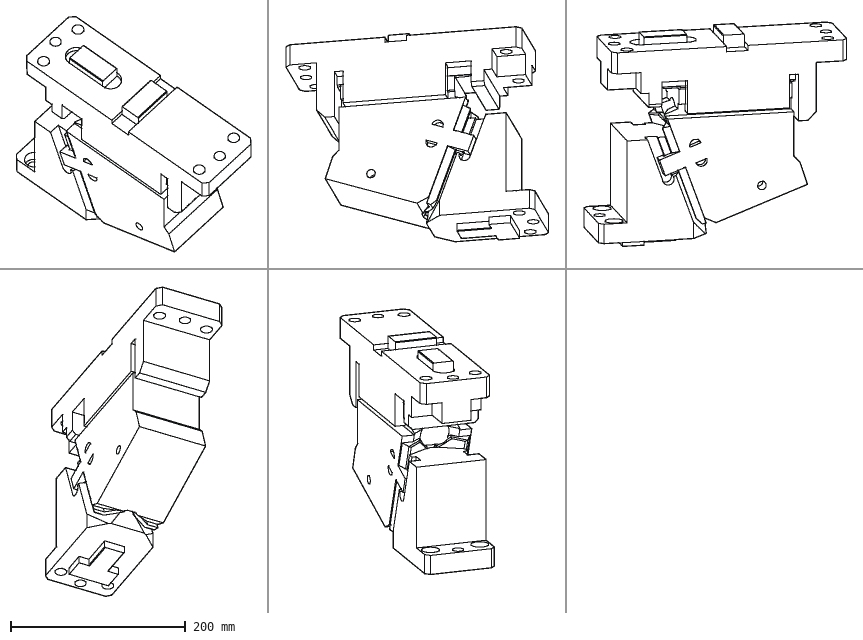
import cadquery as cq
import math


LENGTH = 292.0
HEIGHT = 243.0
WIDTH = 85.0
HALF_WIDTH = WIDTH / 2
KEY_PROJECTION = 9.0
KEY_WIDTH = 25.0
CROSS_KEY_LENGTH = 2 * KEY_WIDTH
KEY_CHAMFER = 1.0
DOWEL_DIAMETER = 12.8
BOLT_DIAMETER = 13.5
BOLT_Y = 30.0

INCLINE = math.radians(20)
FRONT_X = 80.0
FRONT_Z = 152.0
V_SLOPE = math.tan(math.radians(30))
V_EDGE_DEPTH = -13.7
RIDGE_HALF = 5.0
FAR = 175.2

HOLDER_TOP = HEIGHT - KEY_PROJECTION
BODY_THICKNESS = 50.0
BODY_BOTTOM = HOLDER_TOP - BODY_THICKNESS
NECK_HALF = 27.7
FLANGE_HALF = 32.5
LIP_TOP = 166.1

HOLDER_LEFT = 15.2
PLATE_BOTTOM = HOLDER_TOP - BODY_THICKNESS / 2
HOLDER_CHAMFER = 5.8
TONGUE_RIGHT = 48.8
TONGUE_HALF = 17.5
LEFT_LEG_X = 58.5
LEFT_LEG_CHAMFER = 4.5
SLOT_START = 73.5
SLOT_END = 234.0
PANEL_START = 103.7
PANEL_END = 223.7
PANEL_BOTTOM = 157.0
RIGHT_LEG_END = 255.0
RIGHT_LEG_BOTTOM = 141.0
RIGHT_LEG_CHAMFER = 10.0
CHANNEL_ROOF = 196.2
CHANNEL_INNER = 27.0
PAD_THICKNESS = 2.0
PAD_HALF = 25.7
PAD_LEAD_IN = 7.3
LONG_KEY_START = 59.0
LONG_KEY_LENGTH = 50.5
LONG_SEAT_START = 46.0
LONG_SEAT_LENGTH = 77.0
CROSS_KEY_START = 149.5
KEY_SEAT_DEPTH = 6.0
HOLDER_BOLT_XS = (35.0, 271.3)
HOLDER_DOWEL_XS = (27.2, 276.2)

NECK_START = 95.5
SLIDE_END = 228.5
SLIDE_BACK_Z = 99.3
SLIDE_BACK_STEP = 7.3
SLIDE_HEEL = (244.7, 65.5)
SLIDE_TOE = (137.0, 26.3)
FRONT_FOOT_Z = 32.7
SHOULDER_Z = 159.7
BORE_DIAMETER = 35.0
BORE_Z = 148.0
BORE_END = 175.2
PIN_HOLE_X = 191.0
PIN_HOLE_Z = 67.2
PIN_HOLE_DIAMETER = 10.0
PIN_HOLE_DEPTH = 17.5
DRILL_POINT = math.radians(31)
PLATE_TOP = 9.5
PLATE_END = 134.0
PLATE_OUTER_DEPTH = -8.2
PLATE_OUTER_Y = 41.2
PLATE_BEVEL_Y = 36.0
PLATE_INNER_Y = 5.8
PLATE_CORNER_WIDTH = 13.0
PLATE_CORNER_DROP = 17.0
PLATE_LEAD_IN = 1.5
PLATE_TIP_LENGTH = 7.5
PLATE_TIP_DEPTH = 3.8

HOOK_TOP = 41.8
HOOK_HEIGHT = 20.1
HOOK_END_DEPTH = -25.5
HOOK_INNER_Y = 34.5
HOOK_ROOT_DEPTH = 20.0
HOOK_LIP_Y = 30.0
HOOK_LIP_THICKNESS = 7.3
RELIEF_RADIUS = 6.7

BASE_BOTTOM = KEY_PROJECTION
FOOT_TOP = 32.0
COLUMN_LEFT = 32.5
COLUMN_TOP = 129.0
BASE_RIGHT = 130.5
BASE_LEFT_CHAMFER = 5.3
BASE_RIGHT_CHAMFER = 20.1
GROOVE_BACK_DEPTH = -30.0
GROOVE_FRONT_DEPTH = -17.0
GROOVE_END = 67.5
GROOVE_INNER_Y = 29.0
RAIL_HALF = 34.2
RAIL_CUT_END = 66.5
BASE_KEY_START = 31.2
BASE_LONG_KEY_END = 96.7
BASE_BOLT_X = 20.0
BASE_DOWEL_X = 10.0
COUNTERBORE_DIAMETER = 20.5
COUNTERBORE_DEPTH = 13.0


def box(x0, x1, y0, y1, z0, z1):
    return cq.Workplane("XY").box(x1 - x0, y1 - y0, z1 - z0, centered=False).translate((x0, y0, z0))


def centred_box(x0, x1, half, z0, z1):
    return box(x0, x1, -half, half, z0, z1)


def both_sides(shape):
    """Return the shape together with its mirror image across the symmetry plane."""
    return shape.union(shape.mirror("XZ"))


def side_outline(points, half):
    """Extrude an X-Z outline symmetrically to +/- half in Y."""
    return cq.Workplane("XZ").polyline(points).close().extrude(half, both=True)


def vertical_hole(x, y, diameter):
    return cq.Workplane("XY").center(x, y).circle(diameter / 2).extrude(HEIGHT)


def incline_section(points, start, end):
    """Extrude a (y, depth) section down the incline between two travel values."""
    down = cq.Vector(math.sin(INCLINE), 0, -math.cos(INCLINE))
    origin = cq.Vector(FRONT_X, 0, FRONT_Z) + down * start
    plane = cq.Plane(origin=origin, xDir=(0, 1, 0), normal=down)
    return cq.Workplane(plane).polyline(points).close().extrude(end - start)


def incline_side(y):
    """Workplane on the -Y half with axes (depth, -travel) and extrusions running outward to -Y."""
    depth_axis = (math.cos(INCLINE), 0, math.sin(INCLINE))
    return cq.Workplane(cq.Plane(origin=(FRONT_X, -y, FRONT_Z), xDir=depth_axis, normal=(0, -1, 0)))


def incline_box(depth0, depth1, y0, y1, start, end):
    """Block in incline coordinates, repeated on both sides of the symmetry plane."""
    section = [(-y1, depth0), (-y0, depth0), (-y0, depth1), (-y1, depth1)]
    return both_sides(incline_section(section, start, end))


def v_depth(y):
    """Depth of the mating V face at distance y from the symmetry plane."""
    return V_EDGE_DEPTH + (HALF_WIDTH - y) * V_SLOPE


def location_key(x0, x1, half, z0, z1, chamfer_edges):
    return centred_box(x0, x1, half, z0, z1).edges(chamfer_edges).chamfer(KEY_CHAMFER)


def make_holder():
    outline = [
        (HOLDER_LEFT, HOLDER_TOP),
        (LENGTH, HOLDER_TOP),
        (LENGTH, PLATE_BOTTOM),
        (RIGHT_LEG_END, PLATE_BOTTOM),
        (RIGHT_LEG_END, RIGHT_LEG_BOTTOM + RIGHT_LEG_CHAMFER),
        (RIGHT_LEG_END - RIGHT_LEG_CHAMFER, RIGHT_LEG_BOTTOM),
        (SLOT_END, RIGHT_LEG_BOTTOM),
        (SLOT_END, CHANNEL_ROOF),
        (PANEL_END, CHANNEL_ROOF),
        (PANEL_END, PANEL_BOTTOM),
        (PANEL_START, PANEL_BOTTOM),
        (PANEL_START, CHANNEL_ROOF),
        (SLOT_START, CHANNEL_ROOF),
        (SLOT_START, LIP_TOP),
        (LEFT_LEG_X, LIP_TOP),
        (LEFT_LEG_X, BODY_BOTTOM),
        (TONGUE_RIGHT, BODY_BOTTOM),
        (TONGUE_RIGHT, PLATE_BOTTOM),
        (HOLDER_LEFT, PLATE_BOTTOM),
    ]
    holder = side_outline(outline, HALF_WIDTH)
    corner_box = centred_box(HOLDER_LEFT, LENGTH, HALF_WIDTH, 0, HEIGHT)
    holder = holder.intersect(corner_box.edges("|Z").chamfer(HOLDER_CHAMFER))

    leg_box = centred_box(LEFT_LEG_X, SLOT_START, HALF_WIDTH, LIP_TOP, BODY_BOTTOM)
    leg = leg_box.edges("<Z and |X").chamfer(LEFT_LEG_CHAMFER)
    holder = holder.cut(leg_box.cut(leg))

    holder = holder.cut(centred_box(SLOT_START, SLOT_END, NECK_HALF, PANEL_BOTTOM, LIP_TOP))
    holder = holder.cut(centred_box(SLOT_START, SLOT_END, FLANGE_HALF, LIP_TOP, CHANNEL_ROOF))
    pad_outline = [
        (SLOT_START, CHANNEL_ROOF),
        (SLOT_START, BODY_BOTTOM + PAD_THICKNESS),
        (SLOT_START + PAD_LEAD_IN, BODY_BOTTOM),
        (SLOT_END, BODY_BOTTOM),
        (SLOT_END, CHANNEL_ROOF),
    ]
    holder = holder.union(side_outline(pad_outline, PAD_HALF))
    rib_bottom = BODY_BOTTOM + PAD_THICKNESS
    holder = holder.union(centred_box(SLOT_START, SLOT_END, CHANNEL_INNER, rib_bottom, CHANNEL_ROOF))
    holder = holder.union(centred_box(HOLDER_LEFT, TONGUE_RIGHT, TONGUE_HALF, BODY_BOTTOM, PLATE_BOTTOM))

    seat_floor = HOLDER_TOP - KEY_SEAT_DEPTH
    cross_end = CROSS_KEY_START + KEY_WIDTH
    long_seat = (
        cq.Workplane("XY", origin=(LONG_SEAT_START + LONG_SEAT_LENGTH / 2, 0, seat_floor))
        .slot2D(LONG_SEAT_LENGTH, KEY_WIDTH)
        .extrude(KEY_SEAT_DEPTH)
    )
    holder = holder.cut(long_seat)
    holder = holder.cut(centred_box(CROSS_KEY_START, cross_end, HALF_WIDTH, seat_floor, HOLDER_TOP))
    long_end = LONG_KEY_START + LONG_KEY_LENGTH
    holder = holder.union(
        location_key(LONG_KEY_START, long_end, KEY_WIDTH / 2, seat_floor, HEIGHT, ">Z and |X"))
    holder = holder.union(
        location_key(CROSS_KEY_START, cross_end, CROSS_KEY_LENGTH / 2, seat_floor, HEIGHT, ">Z and |Y"))

    for bolt_x, dowel_x in zip(HOLDER_BOLT_XS, HOLDER_DOWEL_XS):
        for y in (-BOLT_Y, BOLT_Y):
            holder = holder.cut(vertical_hole(bolt_x, y, BOLT_DIAMETER))
        holder = holder.cut(vertical_hole(dowel_x, 0, DOWEL_DIAMETER))
    return holder


def make_wear_plates():
    """Pair of plates that line the V recess of the slide and ride on the V faces of the base."""
    contact_y = HALF_WIDTH - (PLATE_OUTER_DEPTH - V_EDGE_DEPTH) / V_SLOPE
    section = [
        (-PLATE_OUTER_Y, 0),
        (-PLATE_BEVEL_Y, PLATE_OUTER_DEPTH),
        (-contact_y, PLATE_OUTER_DEPTH),
        (-PLATE_INNER_Y, v_depth(PLATE_INNER_Y)),
        (-PLATE_INNER_Y, (NECK_HALF - PLATE_INNER_Y) * V_SLOPE),
        (-NECK_HALF, 0),
    ]
    plate = incline_section(section, PLATE_TOP, PLATE_END)

    tip = (
        incline_side(0)
        .polyline([
            (PLATE_OUTER_DEPTH, -PLATE_END),
            (PLATE_OUTER_DEPTH + PLATE_TIP_DEPTH, -PLATE_END),
            (PLATE_OUTER_DEPTH, -PLATE_END + PLATE_TIP_LENGTH),
        ])
        .close()
        .extrude(HALF_WIDTH)
    )
    plate = plate.cut(tip)

    into_slide = cq.Vector(math.cos(INCLINE), 0, math.sin(INCLINE))
    corner_plane = cq.Plane(
        origin=cq.Vector(FRONT_X, 0, FRONT_Z) - into_slide * FAR / 2, xDir=(0, 1, 0), normal=into_slide)
    corner = (
        cq.Workplane(corner_plane)
        .polyline([
            (-PLATE_INNER_Y, -PLATE_TOP),
            (-PLATE_INNER_Y - PLATE_CORNER_WIDTH, -PLATE_TOP),
            (-PLATE_INNER_Y, -PLATE_TOP - PLATE_CORNER_DROP),
        ])
        .close()
        .extrude(FAR)
    )
    plate = plate.cut(corner)

    face_normal = (-math.cos(INCLINE), V_SLOPE, -math.sin(INCLINE))
    sliding_face = plate.faces(cq.DirectionSelector(cq.Vector(*face_normal)))
    plate = sliding_face.edges(">>Z or >>Z[-2]").chamfer(PLATE_LEAD_IN)
    return both_sides(plate)


def make_pin_hole():
    """Blind hole with a drill point, entering from the -Y side."""
    radius = PIN_HOLE_DIAMETER / 2
    drill_tip = radius * math.tan(DRILL_POINT)
    half_section = [
        (PIN_HOLE_X, -HALF_WIDTH),
        (PIN_HOLE_X + radius, -HALF_WIDTH),
        (PIN_HOLE_X + radius, PIN_HOLE_DEPTH - HALF_WIDTH),
        (PIN_HOLE_X, PIN_HOLE_DEPTH - HALF_WIDTH + drill_tip),
    ]
    section = cq.Workplane("XY", origin=(0, 0, PIN_HOLE_Z)).polyline(half_section).close()
    return section.revolve(360, (PIN_HOLE_X, 0, 0), (PIN_HOLE_X, 1, 0))


def make_slide():
    front_foot_x = FRONT_X + (FRONT_Z - FRONT_FOOT_Z) * math.tan(INCLINE)
    lower_outline = [
        (FRONT_X, FRONT_Z),
        (SLIDE_END, FRONT_Z),
        (SLIDE_END, SLIDE_BACK_Z),
        (SLIDE_END + SLIDE_BACK_STEP, SLIDE_BACK_Z - SLIDE_BACK_STEP),
        SLIDE_HEEL,
        SLIDE_TOE,
        (front_foot_x, FRONT_FOOT_Z),
    ]
    slide = side_outline(lower_outline, HALF_WIDTH)

    shoulder_start_z = SHOULDER_Z - (NECK_START - FRONT_X) * math.tan(INCLINE)
    neck_outline = [
        (FRONT_X, FRONT_Z),
        (FRONT_X, shoulder_start_z),
        (NECK_START, SHOULDER_Z),
        (NECK_START, LIP_TOP),
        (SLIDE_END, LIP_TOP),
        (SLIDE_END, FRONT_Z),
    ]
    slide = slide.union(side_outline(neck_outline, NECK_HALF))
    slide = slide.union(centred_box(NECK_START, SLIDE_END, FLANGE_HALF, LIP_TOP, BODY_BOTTOM))

    recess_depth = (NECK_HALF - RIDGE_HALF) * V_SLOPE
    recess = [
        (-NECK_HALF, 0),
        (-RIDGE_HALF, recess_depth),
        (RIDGE_HALF, recess_depth),
        (NECK_HALF, 0),
        (NECK_HALF, -PLATE_BEVEL_Y),
        (-NECK_HALF, -PLATE_BEVEL_Y),
    ]
    slide = slide.cut(incline_section(recess, -FAR, FAR))
    slide = slide.union(make_wear_plates())

    bore = cq.Workplane("YZ").center(0, BORE_Z).circle(BORE_DIAMETER / 2).extrude(BORE_END)
    slide = slide.cut(bore)
    slide = slide.cut(both_sides(make_pin_hole()))

    hook_bottom = HOOK_TOP + HOOK_HEIGHT
    reliefs = (
        incline_side(HOOK_INNER_Y)
        .pushPoints([(HOOK_ROOT_DEPTH, -HOOK_TOP), (HOOK_ROOT_DEPTH, -hook_bottom)])
        .circle(RELIEF_RADIUS)
        .extrude(HALF_WIDTH - HOOK_INNER_Y)
    )
    slide = slide.cut(both_sides(reliefs))
    hook_root = HOOK_ROOT_DEPTH + RELIEF_RADIUS
    slide = slide.union(
        incline_box(HOOK_END_DEPTH, hook_root, HOOK_INNER_Y, HALF_WIDTH, HOOK_TOP, hook_bottom))
    lip_end = HOOK_END_DEPTH + HOOK_LIP_THICKNESS
    slide = slide.union(
        incline_box(HOOK_END_DEPTH, lip_end, HOOK_LIP_Y, HOOK_INNER_Y, HOOK_TOP, hook_bottom))
    return slide


def make_base():
    block = centred_box(0, BASE_RIGHT, HALF_WIDTH, BASE_BOTTOM, COLUMN_TOP)
    block = block.edges("|Z and <X").chamfer(BASE_LEFT_CHAMFER)
    base = block.edges("|Z and >X").chamfer(BASE_RIGHT_CHAMFER)
    base = base.cut(centred_box(0, COLUMN_LEFT, HALF_WIDTH, FOOT_TOP, COLUMN_TOP))

    beyond_v = [
        (-HALF_WIDTH, V_EDGE_DEPTH),
        (-RIDGE_HALF, v_depth(RIDGE_HALF)),
        (RIDGE_HALF, v_depth(RIDGE_HALF)),
        (HALF_WIDTH, V_EDGE_DEPTH),
        (HALF_WIDTH, FAR),
        (-HALF_WIDTH, FAR),
    ]
    base = base.cut(incline_section(beyond_v, -FAR, 2 * FAR))

    groove_width = GROOVE_FRONT_DEPTH - GROOVE_BACK_DEPTH
    groove = (
        incline_side(GROOVE_INNER_Y)
        .moveTo(GROOVE_BACK_DEPTH, FAR)
        .lineTo(GROOVE_BACK_DEPTH, -GROOVE_END)
        .threePointArc(
            (GROOVE_BACK_DEPTH + groove_width / 2, -GROOVE_END - groove_width / 2),
            (GROOVE_FRONT_DEPTH, -GROOVE_END),
        )
        .lineTo(GROOVE_FRONT_DEPTH, FAR)
        .close()
        .extrude(HALF_WIDTH - GROOVE_INNER_Y)
    )
    base = base.cut(both_sides(groove))
    base = base.cut(incline_box(GROOVE_FRONT_DEPTH, 0, RAIL_HALF, HALF_WIDTH, -FAR, RAIL_CUT_END))

    cross_end = BASE_KEY_START + KEY_WIDTH
    base = base.union(centred_box(BASE_KEY_START, cross_end, CROSS_KEY_LENGTH / 2, 0, BASE_BOTTOM))
    base = base.union(
        location_key(BASE_KEY_START, BASE_LONG_KEY_END, KEY_WIDTH / 2, 0, BASE_BOTTOM, "<Z and |X"))

    for y in (-BOLT_Y, BOLT_Y):
        base = base.cut(vertical_hole(BASE_BOLT_X, y, BOLT_DIAMETER))
        counterbore = vertical_hole(BASE_BOLT_X, y, COUNTERBORE_DIAMETER)
        base = base.cut(counterbore.translate((0, 0, FOOT_TOP - COUNTERBORE_DEPTH)))
    return base.cut(vertical_hole(BASE_DOWEL_X, 0, DOWEL_DIAMETER))


holder = make_holder()
slide = make_slide()
base = make_base()
result = cq.Compound.makeCompound([holder.val(), slide.val(), base.val()])